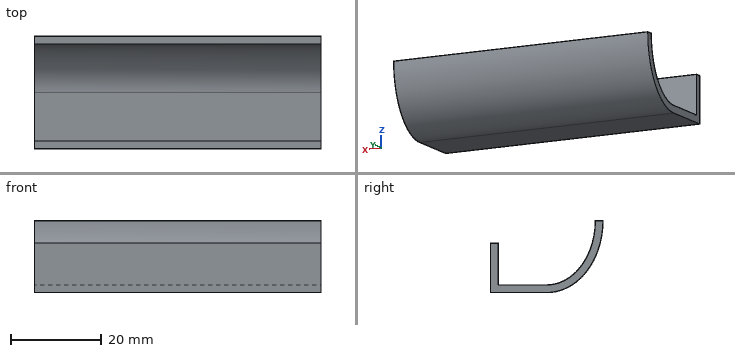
import cadquery as cq

length = 63.6
width = 25.0
height = 16.0
wall = 1.75

flange_height = 11.0

curve_width = 12.5

bottom_angle = 270
side_angle = 360

front_y = -width / 2
back_y = width / 2
curve_start_y = back_y - curve_width
flange_inside_y = front_y + wall


def quarter_ellipse(inset):
    """Quarter ellipse of the YZ section from the floor to the top edge, set in from the outside."""
    return (
        cq.Workplane("YZ", origin=(0, curve_start_y, height))
        .ellipseArc(
            x_radius=curve_width - inset,
            y_radius=height - inset,
            angle1=bottom_angle,
            angle2=side_angle,
            startAtCurrent=False,
        )
        .val()
    )


def straight_edges(*points):
    """Chain of straight edges of the YZ section through (y, z) points."""
    corners = [cq.Vector(0, y, z) for y, z in points]
    return [cq.Edge.makeLine(start, end) for start, end in zip(corners, corners[1:])]


def make_section():
    """Closed YZ section of the channel: floor, flange and curved side."""
    top_edge = straight_edges((back_y, height), (back_y - wall, height))
    floor_and_flange = straight_edges(
        (curve_start_y, wall),
        (flange_inside_y, wall),
        (flange_inside_y, flange_height),
        (front_y, flange_height),
        (front_y, 0),
        (curve_start_y, 0),
    )
    edges = [quarter_ellipse(0), *top_edge, quarter_ellipse(wall), *floor_and_flange]
    return cq.Wire.assembleEdges(edges)


def make_channel():
    """Section extruded along X, centred on the YZ plane."""
    section = cq.Workplane("YZ").add(make_section()).toPending()
    return section.extrude(length).translate((-length / 2, 0, 0))


result = make_channel()